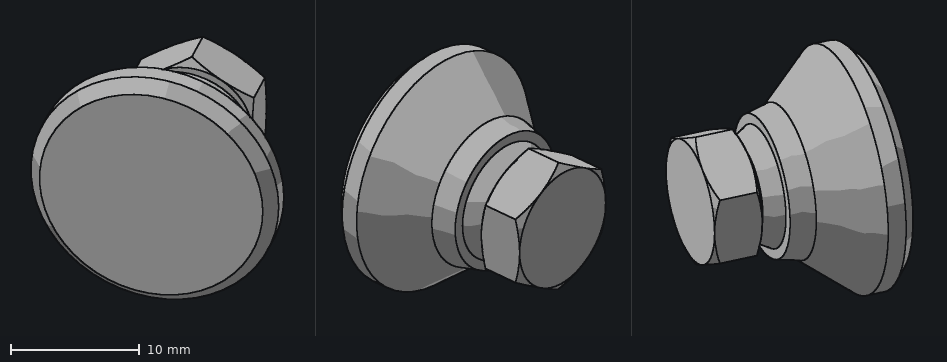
import cadquery as cq
import math

foot_radius = 10.0
base_chamfer = 1.0
rim_top = 2.5
collar_bottom = 7.0
collar_bottom_radius = 6.28
collar_top = 9.0
collar_top_radius = 5.8

ball_radius = 11.0 / 2
ball_center = 6.6

neck_bottom = 10.5
neck_waist = 10.7
neck_waist_radius = 3.85
neck_top_radius = 4.08

hex_bottom = 11.0
hex_top = 15.0
hex_across_flats = 10.0
hex_chamfer_angle = 30.0
hex_sides = 6


def ball_radius_at(height):
    """Radius of the ball's circular section at a given height along Y."""
    return math.sqrt(ball_radius**2 - (height - ball_center) ** 2)


def make_foot_and_ball():
    ball_mid = (collar_top + neck_bottom) / 2
    profile = (
        cq.Workplane("XY")
        .moveTo(0, 0)
        .lineTo(foot_radius - base_chamfer, 0)
        .lineTo(foot_radius, base_chamfer)
        .lineTo(foot_radius, rim_top)
        .lineTo(collar_bottom_radius, collar_bottom)
        .lineTo(collar_top_radius, collar_top)
        .lineTo(ball_radius_at(collar_top), collar_top)
        .threePointArc((ball_radius_at(ball_mid), ball_mid), (ball_radius_at(neck_bottom), neck_bottom))
        .threePointArc((neck_waist_radius, neck_waist), (neck_top_radius, hex_bottom))
        .lineTo(0, hex_bottom)
        .close()
    )
    return profile.revolve(360, (0, 0), (0, 1))


def make_hex_head():
    half_sector = math.pi / hex_sides
    corner_radius = hex_across_flats / 2 / math.cos(half_sector)
    corners = []
    for i in range(hex_sides):
        angle = half_sector * (2 * i + 1)
        corners.append((corner_radius * math.cos(angle), corner_radius * math.sin(angle)))
    prism = (
        cq.Workplane("XZ", origin=(0, hex_bottom, 0))
        .polyline(corners)
        .close()
        .extrude(hex_bottom - hex_top)
    )

    end_radius = hex_across_flats / 2
    middle = (hex_bottom + hex_top) / 2
    middle_radius = end_radius + (hex_top - middle) / math.tan(math.radians(hex_chamfer_angle))
    envelope = (
        cq.Workplane("XY")
        .moveTo(0, hex_bottom)
        .lineTo(end_radius, hex_bottom)
        .lineTo(middle_radius, middle)
        .lineTo(end_radius, hex_top)
        .lineTo(0, hex_top)
        .close()
        .revolve(360, (0, 0), (0, 1))
    )
    return prism.intersect(envelope)


result = make_foot_and_ball().union(make_hex_head())